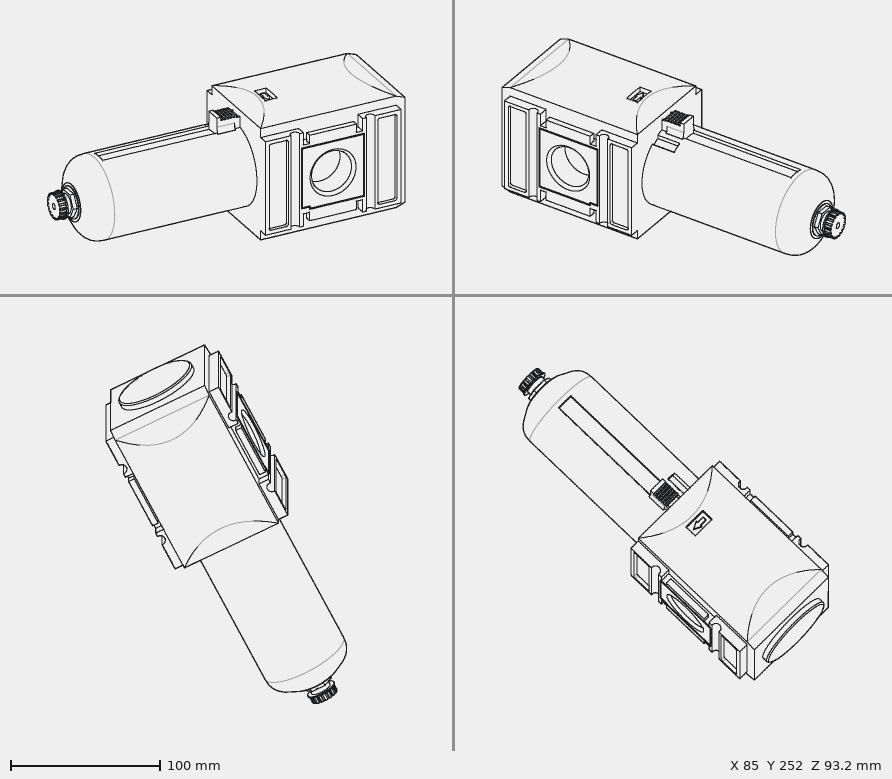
import cadquery as cq
import math

TOTAL_LENGTH = 252.0

HOUSING_WIDTH = 85.0
CORE_WIDTH = 70.8
CROWN_HEIGHT = 93.2
SHOULDER_HEIGHT = 84.2
PAD_LENGTH = 102.5
BACK_LENGTH = 109.4
BACK_HEIGHT = 79.1
CROWN_SLOPE_LENGTH = 15.5
CAP_DIAMETER = 55.0
CAP_LENGTH = 4.5
CAP_CHAMFER = 1.0

PAD_HEIGHT = 70.5
PAD_MIDDLE = 51.2
GROOVE_SPACING = 57.0
GROOVE_DIAMETER = 6.5
GROOVE_INSET = 0.5
PANEL_SPACING = 82.2
PANEL_LENGTH = 14.4
PANEL_HEIGHT = 65.0
PANEL_DEPTH = 2.8
PANEL_CORNER = 1.5
RELIEF_LENGTH = 44.9
RELIEF_FLOOR_HEIGHT = 52.0
TONGUE_LENGTH = 35.5
TONGUE_HEIGHT = 64.5
TONGUE_THICKNESS = 4.3
FRAME_SIZE = 47.5
FRAME_STEP_LENGTH = 6.0
FRAME_STEP_HEIGHT = 1.8
FRAME_LINE = 0.5
FRAME_DEPTH = 0.5
PORT_DIAMETER = 30.2
PORT_MOUTH_DIAMETER = 34.8
PORT_DEPTH = 19.0

WINDOW_WIDTH = 16.1
WINDOW_LENGTH = 8.8
WINDOW_DEPTH = 3.8
WINDOW_Y = 22.5
ARROW_LENGTH = 10.5
ARROW_HEAD = 5.3
ARROW_STEM = 2.8
ARROW_HEIGHT = 2.0

BOWL_DIAMETER = 60.0
BOWL_STRAIGHT = 107.5
BOWL_END = 125.0
KNUCKLE_RADIUS = 15.5
KNUCKLE_ANGLE = 74.0
RECESS_DEPTH = 2.5
STRIP_WIDTH = 11.5
STRIP_LENGTH = 104.0
MARK_RIGHT = -10.8
MARK_LEFT = -17.5
MARK_WALL_ANGLE = 45.0

LATCH_LENGTH = 17.6
LATCH_WIDTH = 11.5
LATCH_ROOT_WIDTH = 14.5
LATCH_FLARE_TOP = 33.8
LATCH_FLARE_FOOT = 29.2
LATCH_TOP = 40.5
NECK_LENGTH = 3.0
NECK_GROOVE_WIDTH = 8.8
NECK_GROOVE_DEPTH = 1.0
NECK_TOP = 37.5
FLARE_START = 4.3
FLARE_HOLLOW = 0.25
RIB_TOP = 39.8
RIB_BLOCK_LENGTH = 3.0
SLOT_COUNT = 5
SLOT_PITCH = 2.3
SLOT_WIDTH = 1.3
SLOT_FLOOR = 38.0

SEAT_DIAMETER = 27.0
SEAT_END = 125.0
COLLAR_DIAMETER = 23.0
COLLAR_END = 125.5
HEX_DIAMETER = 20.0
HEX_END = 128.5
STEM_DIAMETER = 14.0
KNOB_START = 132.3
KNOB_FLANGE_DIAMETER = 20.0
KNOB_FLANGE_END = 133.3
KNOB_DIAMETER = 18.6
KNOB_ROOT_DIAMETER = 16.6
TOOTH_COUNT = 18
TOOTH_WIDTH = 1.8
DRAIN_HOLE_DIAMETER = 4.0
DRAIN_HOLE_DEPTH = 5.0
KNOB_END = TOTAL_LENGTH - BACK_LENGTH - CAP_LENGTH

BOWL_RADIUS = BOWL_DIAMETER / 2


def block(x_range, y_range, z_range):
    """Axis-aligned box from its limits along X, Y and Z."""
    size = [high - low for low, high in (x_range, y_range, z_range)]
    corner = (x_range[0], y_range[0], z_range[0])
    return cq.Workplane("XY").box(*size, centered=False).translate(corner)


def around(middle, length):
    """Limits of a stretch of the given length about its middle."""
    return middle - length / 2, middle + length / 2


def rod(diameter, start, end):
    """Cylinder on the bowl axis between two distances in front of the front face."""
    return cq.Workplane("XZ", origin=(0, -start, 0)).circle(diameter / 2).extrude(end - start)


def both_sides(shape):
    """The shape together with its mirror image on the other X side."""
    return shape.union(shape.mirror("YZ"))



def housing_core():
    """Block with curved top and bottom, sloped towards both ends."""
    half_width = CORE_WIDTH / 2
    shoulder = SHOULDER_HEIGHT / 2
    crown = CROWN_HEIGHT / 2
    section = (
        cq.Workplane("XZ")
        .moveTo(-half_width, -shoulder)
        .threePointArc((0, -crown), (half_width, -shoulder))
        .lineTo(half_width, shoulder)
        .threePointArc((0, crown), (-half_width, shoulder))
        .close()
        .extrude(-BACK_LENGTH)
    )
    upper = [
        (0, shoulder),
        (CROWN_SLOPE_LENGTH, crown),
        (PAD_LENGTH - CROWN_SLOPE_LENGTH, crown),
        (PAD_LENGTH, shoulder),
        (BACK_LENGTH, BACK_HEIGHT / 2),
    ]
    lower = [(y, -z) for y, z in reversed(upper)]
    profile = cq.Workplane("YZ").polyline(upper + lower).close().extrude(half_width, both=True)
    return section.intersect(profile)


def end_cap():
    cap = cq.Workplane("XZ", origin=(0, BACK_LENGTH, 0)).circle(CAP_DIAMETER / 2).extrude(-CAP_LENGTH)
    return cap.faces(">Y").chamfer(CAP_CHAMFER)


def pad():
    """Side pad on -X, with its grooves, panels, reliefs, tongues and frame line."""
    outer = -HOUSING_WIDTH / 2
    inner = -CORE_WIDTH / 2
    body = block((outer, inner), (0, PAD_LENGTH), around(0, PAD_HEIGHT))

    for y in around(PAD_MIDDLE, GROOVE_SPACING):
        groove = cq.Workplane("XY").center(outer + GROOVE_INSET, y).circle(GROOVE_DIAMETER / 2)
        body = body.cut(groove.extrude(PAD_HEIGHT / 2, both=True))

    for y in around(PAD_MIDDLE, PANEL_SPACING):
        panel = block((outer, outer + PANEL_DEPTH), around(y, PANEL_LENGTH), around(0, PANEL_HEIGHT))
        body = body.cut(panel.edges("|X").fillet(PANEL_CORNER))

    middle = around(PAD_MIDDLE, RELIEF_LENGTH)
    floor = block((outer, inner), middle, around(0, RELIEF_FLOOR_HEIGHT))
    tongue = block(
        (outer, outer + TONGUE_THICKNESS), around(PAD_MIDDLE, TONGUE_LENGTH), around(0, TONGUE_HEIGHT)
    )
    body = body.cut(block((outer, inner), middle, around(0, PAD_HEIGHT))).union(floor).union(tongue)

    half = FRAME_SIZE / 2
    step_y = FRAME_STEP_LENGTH - half
    step_z = FRAME_STEP_HEIGHT - half
    corners = [(-half, half), (half, half), (half, -half), (step_y, -half), (step_y, step_z), (-half, step_z)]
    outline = cq.Workplane("YZ", origin=(outer, PAD_MIDDLE, 0)).polyline(corners).close()
    inside = outline.offset2D(-FRAME_LINE).extrude(FRAME_DEPTH)
    frame = outline.wires().toPending().extrude(FRAME_DEPTH).cut(inside)
    return body.cut(frame)


def port():
    """Blind port on -X with a chamfered mouth."""
    face = cq.Workplane("YZ", origin=(-HOUSING_WIDTH / 2, PAD_MIDDLE, 0))
    bore = face.circle(PORT_DIAMETER / 2).extrude(PORT_DEPTH)
    mouth_depth = (PORT_MOUTH_DIAMETER - PORT_DIAMETER) / 2
    mouth = face.circle(PORT_MOUTH_DIAMETER / 2).workplane(offset=mouth_depth).circle(PORT_DIAMETER / 2)
    return bore.union(mouth.loft())


def arrow_window():
    """Rectangular recess in the top, less the raised flow arrow that points to +X."""
    top = CROWN_HEIGHT / 2
    floor = top - WINDOW_DEPTH
    recess = block(around(0, WINDOW_WIDTH), around(WINDOW_Y, WINDOW_LENGTH), (floor, top))
    tip = ARROW_LENGTH / 2
    neck = tip - ARROW_HEAD
    outline = [
        (-tip, ARROW_STEM / 2),
        (neck, ARROW_STEM / 2),
        (neck, ARROW_HEAD / 2),
        (tip, 0),
        (neck, -ARROW_HEAD / 2),
        (neck, -ARROW_STEM / 2),
        (-tip, -ARROW_STEM / 2),
    ]
    arrow = cq.Workplane("XY", origin=(0, WINDOW_Y, floor)).polyline(outline).close().extrude(ARROW_HEIGHT)
    return recess.cut(arrow)


def make_housing():
    housing = housing_core().union(end_cap()).union(both_sides(pad()))
    return housing.cut(both_sides(port())).cut(arrow_window())



def bowl_shell():
    """Round bowl whose end is one smooth curve: a tight knuckle that runs into a flatter crown."""
    knuckle_middle = BOWL_RADIUS - KNUCKLE_RADIUS

    def knuckle_point(degrees):
        angle = math.radians(degrees)
        return (
            knuckle_middle + KNUCKLE_RADIUS * math.cos(angle),
            -BOWL_STRAIGHT - KNUCKLE_RADIUS * math.sin(angle),
        )

    crown_start = knuckle_point(KNUCKLE_ANGLE)
    return (
        cq.Workplane("XY")
        .lineTo(BOWL_RADIUS, 0)
        .lineTo(BOWL_RADIUS, -BOWL_STRAIGHT)
        .spline(
            [knuckle_point(KNUCKLE_ANGLE / 2), crown_start, (0, -BOWL_END)],
            tangents=[(0, -1), (-1, 0)],
            includeCurrent=True,
        )
        .close()
        .revolve(360, (0, 0, 0), (0, 1, 0))
    )


def surface_recess(outline, length):
    """Shallow recess of even depth in the bowl, inside an XZ outline, from the front face on."""
    region = cq.Workplane("XZ").polyline(outline).close().extrude(length)
    return region.cut(rod(BOWL_DIAMETER - 2 * RECESS_DEPTH, 0, length))


def sight_strip():
    left, right = around(0, STRIP_WIDTH)
    outline = [(left, 0), (right, 0), (right, BOWL_DIAMETER), (left, BOWL_DIAMETER)]
    return surface_recess(outline, STRIP_LENGTH)


def side_mark():
    """Recess beside the latch, with one upright wall and one slanted wall."""
    rim_z = math.sqrt(BOWL_RADIUS**2 - MARK_LEFT**2)
    rise = math.tan(math.radians(MARK_WALL_ANGLE))
    width = MARK_RIGHT - MARK_LEFT
    outline = [
        (MARK_RIGHT, rim_z - width * rise),
        (MARK_RIGHT, BOWL_DIAMETER),
        (MARK_LEFT - width, BOWL_DIAMETER),
        (MARK_LEFT - width, rim_z + width * rise),
    ]
    return surface_recess(outline, LATCH_LENGTH)


def latch():
    """Ribbed push button with a flared root and a low grooved neck that meets the housing."""
    root = BOWL_RADIUS - 2 * RECESS_DEPTH
    button = block(around(0, LATCH_WIDTH), (-LATCH_LENGTH, -NECK_LENGTH), (root, LATCH_TOP))
    neck = block(around(0, LATCH_WIDTH), (-NECK_LENGTH, 0), (root, NECK_TOP))
    groove_floor = NECK_TOP - NECK_GROOVE_DEPTH
    neck = neck.cut(block(around(0, NECK_GROOVE_WIDTH), (-NECK_LENGTH, 0), (groove_floor, NECK_TOP)))

    top = LATCH_WIDTH / 2
    foot = LATCH_ROOT_WIDTH / 2
    bulge_x = top + (foot - top) * FLARE_HOLLOW
    bulge_z = (LATCH_FLARE_TOP + LATCH_FLARE_FOOT) / 2
    flare = (
        cq.Workplane("XZ", origin=(0, -FLARE_START, 0))
        .moveTo(-foot, root)
        .lineTo(foot, root)
        .lineTo(foot, LATCH_FLARE_FOOT)
        .threePointArc((bulge_x, bulge_z), (top, LATCH_FLARE_TOP))
        .lineTo(-top, LATCH_FLARE_TOP)
        .threePointArc((-bulge_x, bulge_z), (-foot, LATCH_FLARE_FOOT))
        .close()
        .extrude(LATCH_LENGTH - FLARE_START)
    )

    rib_end = RIB_BLOCK_LENGTH - LATCH_LENGTH
    button = button.cut(block(around(0, LATCH_WIDTH), (rib_end, 0), (RIB_TOP, LATCH_TOP)))
    for number in range(SLOT_COUNT):
        start = rib_end + number * SLOT_PITCH
        slot = block(around(0, LATCH_WIDTH), (start, start + SLOT_WIDTH), (SLOT_FLOOR, LATCH_TOP))
        button = button.cut(slot)
    return button.union(flare).union(neck)


def drain_screw():
    """Stepped screw with a hexagon and a toothed knob, drilled in its end."""
    buried = BOWL_STRAIGHT
    screw = rod(SEAT_DIAMETER, buried, SEAT_END).union(rod(COLLAR_DIAMETER, buried, COLLAR_END))
    hexagon = cq.Workplane("XZ", origin=(0, -COLLAR_END, 0)).polygon(6, HEX_DIAMETER)
    screw = screw.union(hexagon.extrude(HEX_END - COLLAR_END))
    screw = screw.union(rod(STEM_DIAMETER, HEX_END, KNOB_START))
    screw = screw.union(rod(KNOB_FLANGE_DIAMETER, KNOB_START, KNOB_FLANGE_END))
    screw = screw.union(rod(KNOB_ROOT_DIAMETER, KNOB_FLANGE_END, KNOB_END))

    bar = block((0, KNOB_DIAMETER), (-KNOB_END, -KNOB_FLANGE_END), around(0, TOOTH_WIDTH))
    tooth = bar.intersect(rod(KNOB_DIAMETER, KNOB_FLANGE_END, KNOB_END))
    for number in range(TOOTH_COUNT):
        screw = screw.union(tooth.rotate((0, 0, 0), (0, 1, 0), 360 / TOOTH_COUNT * number))
    return screw.cut(rod(DRAIN_HOLE_DIAMETER, KNOB_END - DRAIN_HOLE_DEPTH, KNOB_END))


def make_bowl():
    bowl = bowl_shell().cut(sight_strip()).cut(side_mark())
    return bowl.union(latch()).union(drain_screw())


housing = make_housing()
bowl = make_bowl()
result = cq.Compound.makeCompound([housing.solids().val(), bowl.solids().val()])